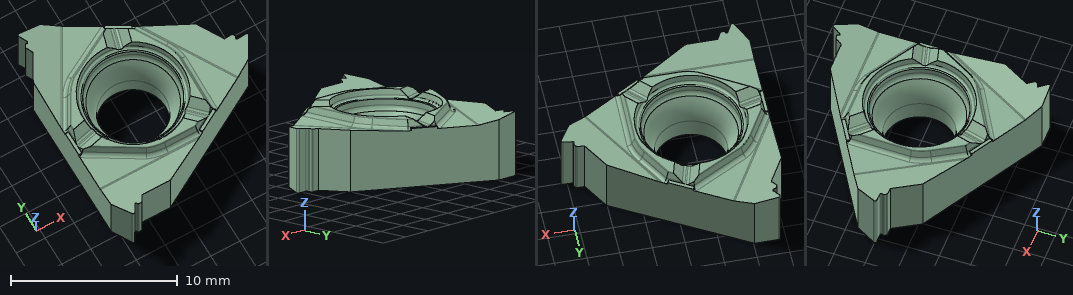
import cadquery as cq
import math

CORNERS = 3
SECTOR = 360 / CORNERS

seat_height = 4.1
floor_height = 3.5
ledge_height = 3.63

inscribed_radius = 4.76
tip_x = -3.93
tip_reach = 6.92
tip_radius = 0.11
flank_angle = 60.0
root_depth = 6.37
root_width = 0.12
root_rise = 0.04
crest_depth = 6.47
crest_start_x = -3.37
crest_end_x = -3.12
crest_radius = 0.08
shoulder_depth = 6.01

rake_start = 4.3
rake_angle = 10.7
valley_half_width = 0.04

seat_taper = 24.0
seat_front_distance = 4.02
seat_arc_radius = 3.19
seat_slant_distance = 3.86
seat_slant_direction = 238.8
seat_side_distance = 4.58
seat_foot_radius = 0.32
seat_edge_radius = 0.04
ledge_start_y = -1.72
ledge_end_y = -0.08

notch_direction = 194.3
notch_half_width = 0.76
notch_floor_half_width = 0.14
notch_bottom_radius = 0.28
notch_inner_end = 2.49
notch_outer_end = 5.54

bore_radius = 2.2
throat_height = 1.27
seat_cone_radius = 2.84
seat_cone_height = 2.87
collar_radius = 3.03
collar_height = 3.19
collar_top = 3.56
land_radius = 3.13
land_height = 3.6
rim_foot_radius = 3.32
rim_foot_height = 3.74
rim_radius = 3.42

overlap = 0.14
edge_band = 0.01


def polar(radius, angle):
    """Point at a distance and an angle in degrees from the bore axis."""
    return (radius * math.cos(math.radians(angle)), radius * math.sin(math.radians(angle)))


def turned(point, angle):
    """Point turned about the bore axis by an angle in degrees."""
    return polar(math.hypot(*point), math.degrees(math.atan2(point[1], point[0])) + angle)


def line_crossing(distance_a, direction_a, distance_b, direction_b):
    """Crossing of two lines, each given by its distance from the axis and its normal direction."""
    ax, ay = polar(1, direction_a)
    bx, by = polar(1, direction_b)
    span = ax * by - ay * bx
    return ((distance_a * by - distance_b * ay) / span, (distance_b * ax - distance_a * bx) / span)


def at_every_corner(shape):
    """Union of a shape repeated around the bore axis."""
    copies = shape
    for index in range(1, CORNERS):
        copies = copies.union(shape.rotate((0, 0, 0), (0, 0, 1), index * SECTOR))
    return copies


def body_prism():
    """Full-height prism of the insert outline, with a two-tooth cutting tip at each corner."""
    slope = math.tan(math.radians(flank_angle))
    tip_centre_y = tip_radius - tip_reach
    apex_y = tip_centre_y - tip_radius / math.cos(math.radians(flank_angle))
    tangent_x = tip_radius * math.sin(math.radians(flank_angle))
    tangent_y = tip_centre_y - tip_radius * math.cos(math.radians(flank_angle))
    side_start = (-inscribed_radius, apex_y + slope * (tip_x + inscribed_radius))
    tip_left = (tip_x - tangent_x, tangent_y)
    tip_bottom = (tip_x, -tip_reach)
    tip_right = (tip_x + tangent_x, tangent_y)
    root_left = (tip_x + (-root_depth - apex_y) / slope, -root_depth)
    root_middle = (root_left[0] + root_width / 2, root_rise - root_depth)
    root_right = (root_left[0] + root_width, -root_depth)
    crest_start = (crest_start_x, -crest_depth)
    crest_end = (crest_end_x, -crest_depth)
    shoulder_start = (crest_end_x + (crest_depth - shoulder_depth) / slope, -shoulder_depth)
    shoulder_end = line_crossing(shoulder_depth, 270, inscribed_radius, 300)

    outline = cq.Workplane("XY").moveTo(*side_start)
    for index in range(CORNERS):
        turn = index * SECTOR
        if index:
            outline = outline.lineTo(*turned(side_start, turn))
        outline = (
            outline.lineTo(*turned(tip_left, turn))
            .threePointArc(turned(tip_bottom, turn), turned(tip_right, turn))
            .lineTo(*turned(root_left, turn))
            .threePointArc(turned(root_middle, turn), turned(root_right, turn))
            .lineTo(*turned(crest_start, turn))
            .lineTo(*turned(crest_end, turn))
            .lineTo(*turned(shoulder_start, turn))
            .lineTo(*turned(shoulder_end, turn))
        )
    prism = outline.close().extrude(seat_height)
    for index in range(CORNERS):
        for crest_corner in (crest_start, crest_end):
            x, y = turned(crest_corner, index * SECTOR)
            corner_edge = cq.selectors.NearestToPointSelector((x, y, seat_height / 2))
            prism = prism.edges(corner_edge).fillet(crest_radius)
    return prism


def raised_seat():
    """Floor slab with the tapered seat on it, blended at the foot and rounded at the top edge."""
    arc_centre_y = seat_arc_radius - seat_front_distance
    slant_from_centre = seat_slant_distance - arc_centre_y * polar(1, seat_slant_direction)[1]
    arc_start_angle = seat_slant_direction + math.degrees(math.acos(slant_from_centre / seat_arc_radius))

    def on_arc(angle):
        x, y = polar(seat_arc_radius, angle)
        return (x, y + arc_centre_y)

    slant_start = line_crossing(seat_side_distance, 180, seat_slant_distance, seat_slant_direction)
    arc_start = on_arc(arc_start_angle)
    arc_middle = on_arc((arc_start_angle + 270) / 2)
    arc_end = (0, -seat_front_distance)
    front_end = line_crossing(seat_front_distance, 270, seat_side_distance, 300)

    outline = cq.Workplane("XY").workplane(offset=floor_height).moveTo(*slant_start)
    for index in range(CORNERS):
        turn = index * SECTOR
        if index:
            outline = outline.lineTo(*turned(slant_start, turn))
        outline = (
            outline.lineTo(*turned(arc_start, turn))
            .threePointArc(turned(arc_middle, turn), turned(arc_end, turn))
            .lineTo(*turned(front_end, turn))
        )
    seat = outline.close().extrude(seat_height - floor_height, taper=seat_taper)
    seat = seat.faces(">Z").edges().fillet(seat_edge_radius)
    slab_width = 4 * inscribed_radius
    floor = cq.Workplane("XY").rect(slab_width, slab_width).extrude(floor_height)
    foot = cq.selectors.BoxSelector(
        (-inscribed_radius, -inscribed_radius, floor_height - edge_band),
        (inscribed_radius, inscribed_radius, floor_height + edge_band),
    )
    return floor.union(seat).edges(foot).fillet(seat_foot_radius)


def ledges():
    """Narrow ledges between the seat and the long sides."""
    depth = 2 * (inscribed_radius - seat_side_distance)
    ledge = cq.Workplane("XY").box(
        depth, ledge_end_y - ledge_start_y, ledge_height, centered=False
    ).translate((-inscribed_radius, ledge_start_y, 0))
    return at_every_corner(ledge)


def rake_faces():
    """Wedges that rise from the valley lines to the cutting tips."""
    slope = math.tan(math.radians(rake_angle))
    outer = tip_reach + overlap
    blend_middle_rise = valley_half_width * slope / 4
    wedge = (
        cq.Workplane("YZ")
        .moveTo(valley_half_width - rake_start, 0)
        .lineTo(valley_half_width - rake_start, floor_height)
        .threePointArc(
            (-rake_start, floor_height + blend_middle_rise),
            (-rake_start - valley_half_width, floor_height + valley_half_width * slope),
        )
        .lineTo(-outer, floor_height + (outer - rake_start) * slope)
        .lineTo(-outer, 0)
        .close()
        .extrude(inscribed_radius + overlap, both=True)
    )
    return at_every_corner(wedge)


def v_notches():
    """Radial V notches with blended flat floors, running from the bore through the seat."""
    notch = (
        cq.Workplane("YZ")
        .workplane(offset=notch_inner_end)
        .moveTo(-notch_half_width, seat_height)
        .lineTo(-notch_floor_half_width, ledge_height)
        .lineTo(notch_floor_half_width, ledge_height)
        .lineTo(notch_half_width, seat_height)
        .close()
        .extrude(notch_outer_end - notch_inner_end)
        .faces("<Z")
        .edges("|X")
        .fillet(notch_bottom_radius)
        .rotate((0, 0, 0), (0, 0, 1), notch_direction)
    )
    return at_every_corner(notch)


def screw_bore():
    """Turned bore: straight throat, curved screw seat, collar, land and flared rim."""
    rise = seat_cone_height - throat_height
    flare = seat_cone_radius - bore_radius
    curve_radius = (rise ** 2 + flare ** 2) / (2 * flare)
    half_turn = math.asin(rise / curve_radius) / 2
    curve_middle = (
        bore_radius + curve_radius * (1 - math.cos(half_turn)),
        throat_height + curve_radius * math.sin(half_turn),
    )
    return (
        cq.Workplane("XZ")
        .lineTo(0, seat_height)
        .lineTo(rim_radius, seat_height)
        .lineTo(rim_foot_radius, rim_foot_height)
        .tangentArcPoint((land_radius, land_height), relative=False)
        .lineTo(collar_radius, collar_top)
        .lineTo(collar_radius, collar_height)
        .tangentArcPoint((seat_cone_radius, seat_cone_height), relative=False)
        .threePointArc(curve_middle, (bore_radius, throat_height))
        .lineTo(bore_radius, 0)
        .close()
        .revolve(360, (0, 0, 0), (0, 1, 0))
    )


upper_form = raised_seat().union(ledges()).union(rake_faces())
result = body_prism().intersect(upper_form).cut(v_notches()).cut(screw_bore())